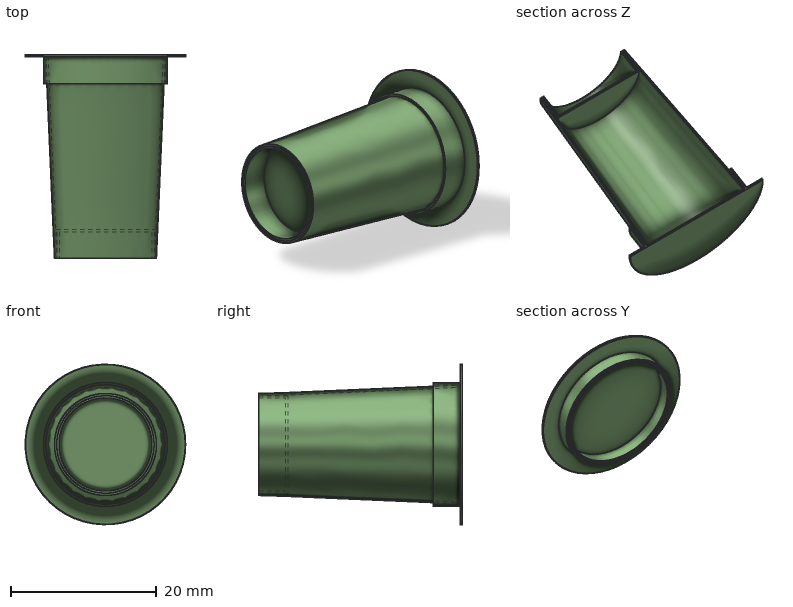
import cadquery as cq

total_length = 28.0
wall = 0.3
flange_radius = 11.0
shell_wide_radius = 8.2
shell_narrow_radius = 7.0
cap_depth = 4.0
plug_depth = 4.0

flange_front = total_length - wall
collar_front = total_length - cap_depth
collar_radius = shell_wide_radius + wall
plug_radius = shell_narrow_radius - wall
recess_radius = plug_radius - wall
recess_depth = plug_depth - wall


def cylinder(radius, start, end):
    """Solid cylinder along Y between two stations."""
    sketch = cq.Workplane("XZ", origin=(0, start, 0)).circle(radius)
    return sketch.extrude(start - end)


def make_shell():
    """Tapered tube of even wall, open at both ends."""
    profile = cq.Workplane("XY").polyline([
        (shell_narrow_radius - wall, 0),
        (shell_narrow_radius, 0),
        (shell_wide_radius, flange_front),
        (shell_wide_radius - wall, flange_front),
    ]).close()
    return profile.revolve(360, (0, 0, 0), (0, 1, 0))


def make_cap():
    """Flanged disc closing the wide end, with a collar around the shell."""
    flange = cylinder(flange_radius, flange_front, total_length)
    collar = cylinder(collar_radius, collar_front, flange_front)
    socket = cylinder(shell_wide_radius, collar_front, flange_front)
    return flange.union(collar.cut(socket))


def make_plug():
    """Shallow cup in the narrow end, with its open side facing outward."""
    body = cylinder(plug_radius, 0, plug_depth)
    recess = cylinder(recess_radius, 0, recess_depth)
    return body.cut(recess)


shell = make_shell()
cap = make_cap()
plug = make_plug()

result = cq.Compound.makeCompound([shell.val(), cap.val(), plug.val()])